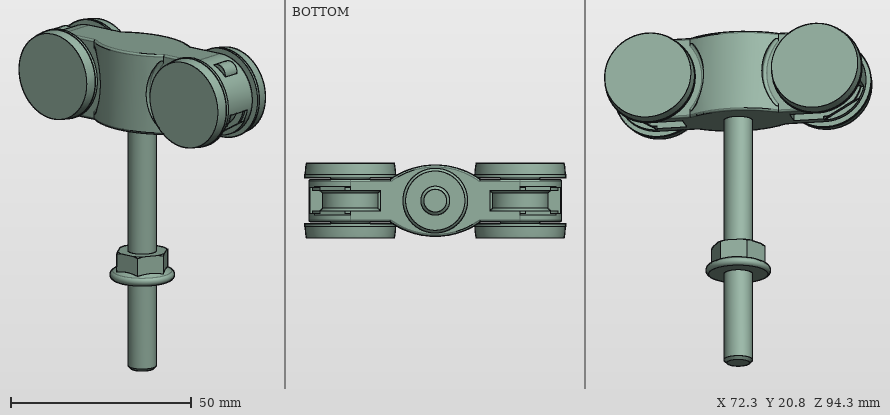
import cadquery as cq
import math

total_height = 94.35
total_length = 72.3
total_width = 20.8

wheel_dia = 25.3
wheel_face_dia = 24.3
crown_mid_dia = 24.9
crown_inner_dia = 25.1
rim_thickness = 0.85
wheel_inner_y = 6.3
hub_dia = 10.9
hub_overlap = 0.9
axle_x = (total_length - wheel_dia) / 2
axle_z = total_height - wheel_dia / 2

body_height = 22.9
body_width = 11.7
body_end_radius = body_height / 2
body_bottom = axle_z - body_end_radius
bulge_width = 19.8
bulge_radius = 21.3
edge_fillet = 0.6
clearance_radius = 15.3
clearance_fillet = 0.9

bumper_dia = 5.7
bumper_length = 5.1
bumper_offset_x = 5.6
bumper_offset_z = 8.1

slot_width = 5.7
slot_back_x = 15.1
slot_core_radius = 8.0
core_flare = 0.8
recess_width = 7.2
recess_top = 79.3
recess_depth = 0.8
flat_width = 7.9
flat_top = 75.95

rod_dia = 8.0
rod_chamfer = 0.85
nut_bottom = 25.8
nut_top = 33.8
hex_corner_dia = 15.1
hex_bevel_dia = 13.8
bevel_angle = 30.0
flange_dia = 17.9
flange_edge_dia = 16.4
flange_thickness = 2.3
flange_cone_dia = 12.8
flange_cone_rise = 0.85


def cylinder_along_y(dia, y_start, y_end, x=0.0, z=0.0):
    """Solid cylinder parallel to Y between two Y positions."""
    plane = cq.Workplane("XZ", origin=(x, y_start, z))
    return plane.circle(dia / 2).extrude(y_start - y_end)


def make_body():
    """Round-ended bar with a barrel-shaped middle, cleared around the wheels."""
    bar = (
        cq.Workplane("XZ", origin=(0, body_width / 2, axle_z))
        .slot2D(2 * (axle_x + body_end_radius), body_height)
        .extrude(body_width)
        .faces("<Y or >Y")
        .fillet(edge_fillet)
    )
    arc_center_y = bulge_width / 2 - bulge_radius
    bulge_half_length = math.sqrt(bulge_radius**2 - arc_center_y**2)
    barrel = (
        cq.Workplane("XY", origin=(0, 0, body_bottom))
        .moveTo(-bulge_half_length, 0)
        .threePointArc((0, bulge_width / 2), (bulge_half_length, 0))
        .threePointArc((0, -bulge_width / 2), (-bulge_half_length, 0))
        .close()
        .extrude(body_height)
        .faces("<Z or >Z")
        .fillet(edge_fillet)
    )
    for side_x in (-axle_x, axle_x):
        for side_y in (-1, 1):
            floor_y = side_y * body_width / 2
            outer_y = side_y * total_width / 2
            inner_face = ">Y" if side_y < 0 else "<Y"
            clearance = (
                cylinder_along_y(2 * clearance_radius, floor_y, outer_y, side_x, axle_z)
                .faces(inner_face)
                .edges()
                .fillet(clearance_fillet)
            )
            barrel = barrel.cut(clearance)
    return bar.union(barrel)


def make_left_wheel():
    """Crowned disc with a thin rim and a hub reaching into the -Y side of the body."""
    crown_start = wheel_inner_y + rim_thickness
    outer_face = total_width / 2
    crown_mid = (crown_start + outer_face) / 2
    disc = (
        cq.Workplane("XY")
        .moveTo(0, -wheel_inner_y)
        .lineTo(wheel_dia / 2, -wheel_inner_y)
        .lineTo(wheel_dia / 2, -crown_start)
        .lineTo(crown_inner_dia / 2, -crown_start)
        .threePointArc((crown_mid_dia / 2, -crown_mid), (wheel_face_dia / 2, -outer_face))
        .lineTo(0, -outer_face)
        .close()
        .revolve(360, (0, 0, 0), (0, 1, 0))
    )
    hub = cylinder_along_y(hub_dia, -crown_start, -body_width / 2 + hub_overlap)
    return disc.union(hub).translate((-axle_x, 0, axle_z))


def make_left_bumper():
    """Short rod across the upper corner of the -X end."""
    half = bumper_length / 2
    x = -axle_x - bumper_offset_x
    return cylinder_along_y(bumper_dia, -half, half, x, axle_z + bumper_offset_z)


def make_left_pocket():
    """Deep slot around a flared core, with a shallow recess and a wider sloping flat at its mouth."""
    end_x = -total_length / 2
    length = -slot_back_x - end_x
    corner = (end_x, 0, body_bottom)
    centering = (False, True, False)
    opening_height = recess_top - body_bottom

    slot = cq.Workplane("XY", origin=corner).box(length, slot_width, opening_height, centered=centering)
    half_width = slot_width / 2
    flare_radius = slot_core_radius + core_flare
    core = (
        cq.Workplane("XY")
        .moveTo(0, -half_width)
        .lineTo(flare_radius, -half_width)
        .lineTo(slot_core_radius, -half_width + core_flare)
        .lineTo(slot_core_radius, half_width - core_flare)
        .lineTo(flare_radius, half_width)
        .lineTo(0, half_width)
        .close()
        .revolve(360, (0, 0, 0), (0, 1, 0))
        .translate((-axle_x, 0, axle_z))
    )

    recess_floor_dia = 2 * (body_end_radius - recess_depth)
    recess = (
        cq.Workplane("XY", origin=corner)
        .box(-axle_x - end_x, recess_width, opening_height, centered=centering)
        .cut(cylinder_along_y(recess_floor_dia, -recess_width, recess_width, -axle_x, axle_z))
    )

    flat_end_x = -axle_x - math.sqrt(body_end_radius**2 - (axle_z - flat_top) ** 2)
    flat = (
        cq.Workplane("XZ", origin=(0, flat_width / 2, 0))
        .moveTo(flat_end_x, flat_top)
        .lineTo(-axle_x, body_bottom)
        .lineTo(end_x, body_bottom)
        .lineTo(end_x, flat_top)
        .close()
        .extrude(flat_width)
    )
    return slot.cut(core).union(recess).union(flat)


def make_rod():
    """Plain round rod hanging from the body, chamfered at its lower end."""
    rod = cq.Workplane("XY").circle(rod_dia / 2).extrude(body_bottom + edge_fillet)
    return rod.faces("<Z").chamfer(rod_chamfer)


def make_nut():
    """Hexagon nut on a round-edged flange with a conical top."""
    hexagon = (
        cq.Workplane("XY", origin=(0, 0, nut_bottom))
        .polygon(6, hex_corner_dia)
        .extrude(nut_top - nut_bottom)
    )
    bevel_drop = (flange_dia - hex_bevel_dia) / 2 * math.tan(math.radians(bevel_angle))
    bevel = (
        cq.Workplane("XZ")
        .moveTo(0, nut_bottom)
        .lineTo(flange_dia / 2, nut_bottom)
        .lineTo(flange_dia / 2, nut_top - bevel_drop)
        .lineTo(hex_bevel_dia / 2, nut_top)
        .lineTo(0, nut_top)
        .close()
        .revolve(360, (0, 0, 0), (0, 1, 0))
    )
    edge_start = flange_edge_dia / 2
    edge_mid = nut_bottom + flange_thickness / 2
    flange_top = nut_bottom + flange_thickness
    flange = (
        cq.Workplane("XZ")
        .moveTo(0, nut_bottom)
        .lineTo(edge_start, nut_bottom)
        .threePointArc((flange_dia / 2, edge_mid), (edge_start, flange_top))
        .lineTo(flange_cone_dia / 2, flange_top + flange_cone_rise)
        .lineTo(0, flange_top + flange_cone_rise)
        .close()
        .revolve(360, (0, 0, 0), (0, 1, 0))
    )
    return hexagon.intersect(bevel).union(flange)


result = make_body()
wheel = make_left_wheel()
bumper = make_left_bumper()
pocket = make_left_pocket()
for end_pocket in (pocket, pocket.mirror("YZ")):
    result = result.cut(end_pocket)
for end_bumper in (bumper, bumper.mirror("YZ")):
    result = result.union(end_bumper)
for end_wheel in (wheel, wheel.mirror("YZ")):
    result = result.union(end_wheel).union(end_wheel.mirror("XZ"))
result = result.union(make_rod()).union(make_nut())